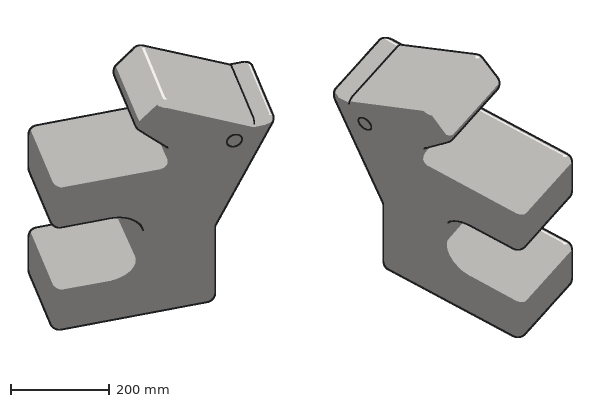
import cadquery as cq

WIDTH = 200.0
EDGE_RADIUS = 20.0
TAIL_RADIUS = 10.0

BASE_DEPTH = 350.0
LOWER_ARM_TOP = 130.0
SLOT_RADIUS = 75.0
SLOT_STRAIGHT = 125.0
SLOT_CENTER_Z = LOWER_ARM_TOP + SLOT_RADIUS
SLOT_TOP = SLOT_CENTER_Z + SLOT_RADIUS
UPPER_ARM_TOP = 410.0

KNEE_Z = SLOT_CENTER_Z
TAIL_Y = 480.0
LEDGE_Z = 476.5
LEDGE_FRONT_Y = 430.5
CROWN_Y = 233.5
CROWN_Z = 580.0
NOSE_DROP = 61.5
NOSE_Y = CROWN_Y - NOSE_DROP
NOSE_Z = CROWN_Z - NOSE_DROP
NOTCH_Y = 278.0

PIN_RADIUS = 16.0
PIN_Y = 385.5
PIN_Z = 440.0


def make_pin():
    """Round pin across the full width."""
    return (
        cq.Workplane("YZ", origin=(-WIDTH / 2, 0, 0))
        .center(PIN_Y, PIN_Z)
        .circle(PIN_RADIUS)
        .extrude(WIDTH)
    )


def make_profile_block():
    """Sharp-edged block with the round-ended slot between the arms."""
    return (
        cq.Workplane("YZ", origin=(-WIDTH / 2, 0, 0))
        .moveTo(0, 0)
        .lineTo(BASE_DEPTH, 0)
        .lineTo(BASE_DEPTH, KNEE_Z)
        .lineTo(TAIL_Y, LEDGE_Z)
        .lineTo(LEDGE_FRONT_Y, LEDGE_Z)
        .lineTo(CROWN_Y, CROWN_Z)
        .lineTo(NOSE_Y, NOSE_Z)
        .lineTo(NOTCH_Y, UPPER_ARM_TOP)
        .lineTo(0, UPPER_ARM_TOP)
        .lineTo(0, SLOT_TOP)
        .lineTo(SLOT_STRAIGHT, SLOT_TOP)
        .threePointArc(
            (SLOT_STRAIGHT + SLOT_RADIUS, SLOT_CENTER_Z),
            (SLOT_STRAIGHT, LOWER_ARM_TOP),
        )
        .lineTo(0, LOWER_ARM_TOP)
        .close()
        .extrude(WIDTH)
    )


def round_profile_corners(block):
    """Round the corners across the width, the tail more tightly; the ledge crease stays sharp."""
    corners = [
        (0, 0),
        (BASE_DEPTH, 0),
        (BASE_DEPTH, KNEE_Z),
        (CROWN_Y, CROWN_Z),
        (NOSE_Y, NOSE_Z),
        (NOTCH_Y, UPPER_ARM_TOP),
        (0, UPPER_ARM_TOP),
        (0, SLOT_TOP),
        (0, LOWER_ARM_TOP),
    ]
    edges = block.newObject([])
    for y, z in corners:
        edges = edges.add(block.edges(cq.NearestToPointSelector((0, y, z))))
    rounded = edges.fillet(EDGE_RADIUS)
    tail = cq.NearestToPointSelector((0, TAIL_Y, LEDGE_Z))
    return rounded.edges(tail).fillet(TAIL_RADIUS)


def make_body():
    """Block with rounded corners and side rims, bored for the pin."""
    rounded = round_profile_corners(make_profile_block())
    rounded = rounded.faces("<X or >X").edges().fillet(EDGE_RADIUS)
    return rounded.cut(make_pin())


body = make_body()
pin = make_pin()

result = cq.Compound.makeCompound([body.val(), pin.val()])